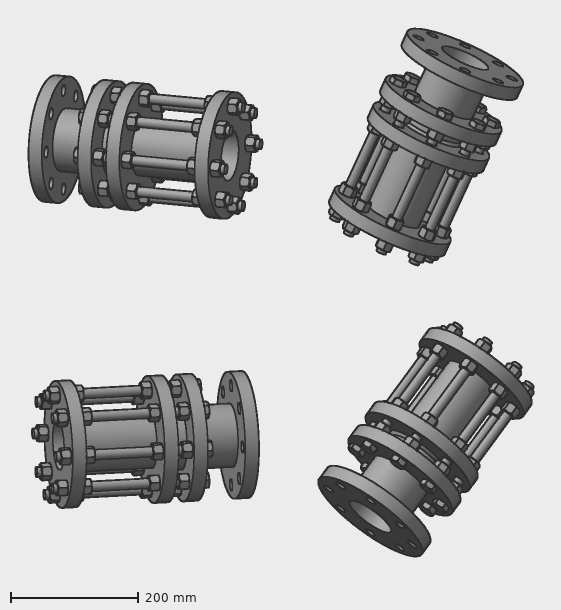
import cadquery as cq
import math


flange_diameter = 200.0
flange_thickness = 22.3
bolt_circle_diameter = 160.0
bolt_count = 8
bolt_hole_diameter = 18.0

bore_diameter = 80.0
slide_diameter = 90.0
body_diameter = 100.0
flare_length = 5.0
flare_diameter = body_diameter + 2 * flare_length

rod_diameter = 16.0
head_thickness = 9.8
nut_thickness = 16.0
across_flats = 24.0
hex_sides = 6
hex_chamfer_angle = 45.0

pipe_length = 300.0
total_length = 322.62
end_flange_x = 0.0
body_flange_x = 82.3
gland_x = 129.6
outlet_flange_x = pipe_length - flange_thickness
flange_starts = [end_flange_x, body_flange_x, gland_x, outlet_flange_x]
flare_start_x = gland_x - flare_length
inner_pipe_start_x = body_flange_x
rod_start_x = body_flange_x - head_thickness
rod_length = total_length - rod_start_x

across_corners = across_flats / math.cos(math.pi / hex_sides)
bolt_circle_radius = bolt_circle_diameter / 2


def cylinder(start_x, length, diameter):
    """Solid cylinder on the X axis."""
    return cq.Workplane("YZ", origin=(start_x, 0, 0)).circle(diameter / 2).extrude(length)


def flange(start_x):
    """Flange disc with its bolt holes, before the centre is bored."""
    holes = (
        cq.Workplane("YZ", origin=(start_x, 0, 0))
        .polarArray(bolt_circle_radius, 0, 360, bolt_count)
        .circle(bolt_hole_diameter / 2)
        .extrude(flange_thickness)
    )
    return cylinder(start_x, flange_thickness, flange_diameter).cut(holes)


def body_pipe():
    """Body pipe whose end flares out at 45 degrees to meet the gland flange."""
    body_radius = body_diameter / 2
    slide_radius = slide_diameter / 2
    return (
        cq.Workplane("XY")
        .moveTo(flange_thickness, slide_radius)
        .lineTo(flange_thickness, body_radius)
        .lineTo(flare_start_x, body_radius)
        .lineTo(gland_x, flare_diameter / 2)
        .lineTo(gland_x, slide_radius)
        .close()
        .revolve(360, (0, 0, 0), (1, 0, 0))
    )


def inner_pipe():
    """Sliding pipe running from inside the body to the outlet flange."""
    length = pipe_length - inner_pipe_start_x
    return cylinder(inner_pipe_start_x, length, slide_diameter)


def hexagon(start_x, thickness, chamfer_right):
    """Hexagonal prism on the X axis with its corners chamfered on the left, and optionally on the right."""
    prism = (
        cq.Workplane("YZ", origin=(start_x, 0, 0))
        .polygon(hex_sides, across_corners)
        .extrude(thickness)
    )
    corner_radius = across_corners / 2
    flat_radius = across_flats / 2
    depth = (corner_radius - flat_radius) * math.tan(math.radians(hex_chamfer_angle))
    end_x = start_x + thickness
    outline = [(start_x, 0), (start_x, flat_radius), (start_x + depth, corner_radius)]
    if chamfer_right:
        outline += [(end_x - depth, corner_radius), (end_x, flat_radius)]
    else:
        outline += [(end_x, corner_radius)]
    outline += [(end_x, 0)]
    envelope = cq.Workplane("XY").polyline(outline).close().revolve(360, (0, 0, 0), (1, 0, 0))
    return prism.intersect(envelope)


def tie_rod():
    """Rod with its head and the nuts that clamp the flanges, on the X axis."""
    rod = cylinder(rod_start_x, rod_length, rod_diameter)
    rod = rod.union(hexagon(rod_start_x, head_thickness, chamfer_right=False))
    nut_starts = [
        body_flange_x + flange_thickness,
        gland_x + flange_thickness,
        outlet_flange_x - nut_thickness,
        outlet_flange_x + flange_thickness,
    ]
    for start_x in nut_starts:
        rod = rod.union(hexagon(start_x, nut_thickness, chamfer_right=True))
    return rod


result = body_pipe().union(inner_pipe())
for flange_x in flange_starts:
    result = result.union(flange(flange_x))

result = result.cut(cylinder(end_flange_x, pipe_length, bore_diameter))
slide_bore_length = inner_pipe_start_x - flange_thickness
result = result.cut(cylinder(flange_thickness, slide_bore_length, slide_diameter))

rod = tie_rod().translate((0, bolt_circle_radius, 0))
for index in range(bolt_count):
    angle = index * 360 / bolt_count
    result = result.union(rod.rotate((0, 0, 0), (1, 0, 0), angle))